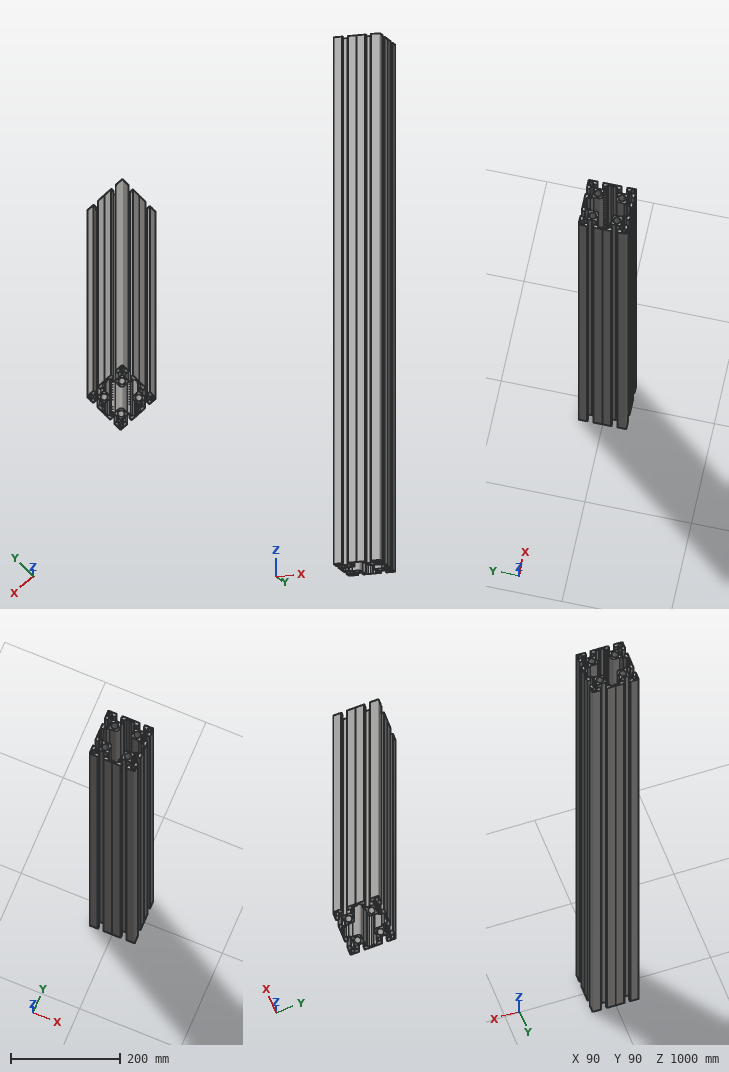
import cadquery as cq
import math

side = 90.0
length = 1000.0
corner_radius = 2.0
half_side = side / 2

slot_pitch = side / 2
slot_offset = slot_pitch / 2
slot_half_opening = 5.25
ledge_half_width = 6.0
ledge_depth = 0.4
lip_thickness = 6.45
undercut_half_width = 9.8
undercut_wall_depth = 11.3
slot_depth = 13.3
floor_half_width = 7.4

groove_half_width = 0.4
groove_flank_angle = 34.5
groove_depth = groove_half_width * math.tan(math.radians(groove_flank_angle))

wall = 2.75
cavity_end = half_side - wall

arm_half_width = 13.05
arm_taper_start = 28.65
arm_taper_end = 34.7
arm_end_half_width = 9.8
arm_end_chamfer = 2.55
inner_corner_radius = 5.5
rib_base_half_width = 2.05
rib_top_half_width = 1.85
rib_height = 1.2

bore_diameter = 12.7

corner_cavity_start = 35.65
corner_cavity_size = cavity_end - corner_cavity_start
corner_cavity_centre = (cavity_end + corner_cavity_start) / 2
corner_cavity_chamfer = 0.25


def mirrored(half_outline):
    """Mirror points about the Y axis and append them in reverse order."""
    return half_outline + [(-x, y) for x, y in reversed(half_outline)]


def extruded(points):
    """Extrude a closed outline over the full length."""
    return cq.Workplane("XY").polyline(points).close().extrude(length)


def on_four_sides(cutter):
    """Copy a full-length cutter made for the +Y side onto all four sides."""
    axis_start = (0, 0, 0)
    axis_end = (0, 0, 1)
    copies = cutter
    for turn in (90, 180, 270):
        copies = copies.union(cutter.rotate(axis_start, axis_end, turn))
    return copies


def billet():
    """Solid square bar with rounded long edges."""
    bar = cq.Workplane("XY").rect(side, side).extrude(length)
    return bar.edges("|Z").fillet(corner_radius)


def t_slot(x_centre):
    """T-slot in the +Y face with a recessed, chamfered mouth and a grooved floor."""
    floor_y = half_side - slot_depth
    ledge_y = half_side - ledge_depth
    lip_y = half_side - lip_thickness
    right_half = [
        (ledge_half_width + ledge_depth, half_side),
        (ledge_half_width, ledge_y),
        (slot_half_opening, ledge_y),
        (slot_half_opening, lip_y),
        (undercut_half_width, lip_y),
        (undercut_half_width, half_side - undercut_wall_depth),
        (floor_half_width, floor_y),
        (groove_half_width, floor_y),
    ]
    groove_tip = [(0, floor_y - groove_depth)]
    left_half = [(-x, y) for x, y in reversed(right_half)]
    return extruded(right_half + groove_tip + left_half).translate((x_centre, 0, 0))


def face_groove():
    """Shallow V groove along the middle of the +Y face."""
    return extruded([
        (-groove_half_width, half_side),
        (0, half_side - groove_depth),
        (groove_half_width, half_side),
    ])


def cavity_arm():
    """Arm of the central cavity toward +Y, with a small rib behind the face groove."""
    return extruded(mirrored([
        (arm_half_width, 0),
        (arm_half_width, arm_taper_start),
        (arm_end_half_width, arm_taper_end),
        (arm_end_half_width, cavity_end - arm_end_chamfer),
        (arm_end_half_width - arm_end_chamfer, cavity_end),
        (rib_base_half_width, cavity_end),
        (rib_top_half_width, cavity_end - rib_height),
    ]))


def inner_corner_rounding():
    """Cutter that rounds the core corner pointing at the profile axis."""
    tangent = arm_half_width + inner_corner_radius
    arc_middle = tangent - inner_corner_radius * math.cos(math.radians(45))
    outline = cq.Workplane("XY").moveTo(0, 0).lineTo(tangent, arm_half_width)
    outline = outline.threePointArc((arc_middle, arc_middle), (arm_half_width, tangent))
    return outline.close().extrude(length)


def corner_cavity():
    """Hollow in the (+X, +Y) corner."""
    hollow = cq.Workplane("XY").rect(corner_cavity_size, corner_cavity_size).extrude(length)
    hollow = hollow.edges("|Z").chamfer(corner_cavity_chamfer)
    return hollow.translate((corner_cavity_centre, corner_cavity_centre, 0))


def core_bores():
    """Round bores through the four cores."""
    centres = cq.Workplane("XY").rect(slot_pitch, slot_pitch, forConstruction=True).vertices()
    return centres.circle(bore_diameter / 2).extrude(length)


profile = billet()
for slot_x in (-slot_offset, slot_offset):
    profile = profile.cut(on_four_sides(t_slot(slot_x)))
for cutter in (face_groove(), cavity_arm(), inner_corner_rounding(), corner_cavity()):
    profile = profile.cut(on_four_sides(cutter))
profile = profile.cut(core_bores())

result = profile